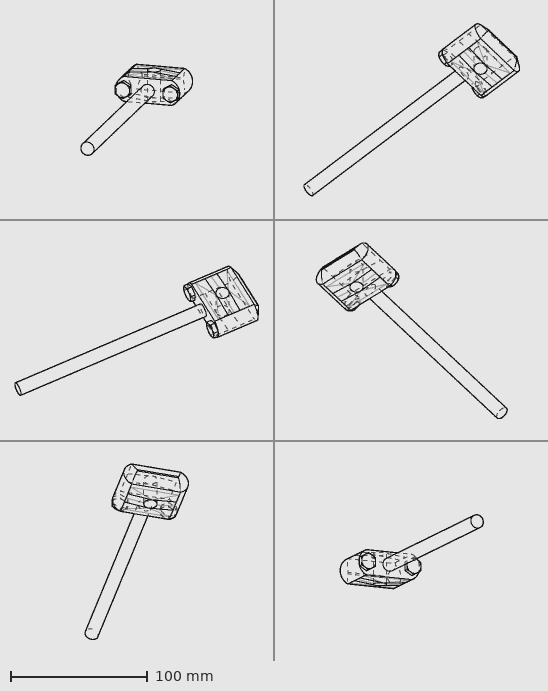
import cadquery as cq
import math

total_length = 189.9
clamp_width = 49.0
clamp_height = 22.8

block_length = 37.5
side_radius = 10.5
flat_height = 19.0
taper_length = 5.1
taper_angle = 30.0

pad_width = 36.0
pad_length = 25.6
hole_y = 16.0
hole_diameter = 9.7
hole_radius = hole_diameter / 2

rod_diameter = 10.0
rod_length = total_length - block_length

bolt_offset = 18.2
head_sides = 6
head_across_flats = 11.2
head_thickness = 3.8
head_chamfer_angle = 30.0


def make_block():
    """Round-sided bar along Y, cut flat above and below, then tapered at the far end."""
    taper_inset = taper_length / math.tan(math.radians(taper_angle))
    shoulder_y = block_length - taper_length
    half_height = flat_height / 2
    tip_half_height = half_height - taper_inset

    bar = (
        cq.Workplane("XZ")
        .slot2D(clamp_width, 2 * side_radius)
        .extrude(-block_length)
        .faces(">Y")
        .chamfer(taper_length, taper_inset)
    )
    side_profile = (
        cq.Workplane("YZ")
        .moveTo(0, -half_height)
        .lineTo(shoulder_y, -half_height)
        .lineTo(block_length, -tip_half_height)
        .lineTo(block_length, tip_half_height)
        .lineTo(shoulder_y, half_height)
        .lineTo(0, half_height)
        .close()
        .extrude(clamp_width / 2, both=True)
    )
    return bar.intersect(side_profile)


def ruled_face(edge_start, edge_end, arc_start, arc_middle, arc_end):
    """Ruled face between a straight edge segment and a quarter of the hole rim."""
    straight = cq.Edge.makeLine(edge_start, edge_end)
    rim = cq.Edge.makeThreePointArc(arc_start, arc_middle, arc_end)
    return cq.Face.makeRuledSurface(straight, rim)


def make_pad():
    """Solid rising from a rectangle on the top flat to the round rim of the cross hole."""
    base_z = flat_height / 2
    rim_z = clamp_height / 2
    half_width = pad_width / 2
    half_length = pad_length / 2
    diagonal = hole_radius * math.sqrt(0.5)

    def point(x, y, z):
        return cq.Vector(x, hole_y + y, z)

    def polygon(*points):
        return cq.Face.makeFromWires(cq.Wire.makePolygon(points, close=True))

    faces = []
    for end in (-1, 1):
        rim_end = point(0, end * hole_radius, rim_z)
        corners = [point(side * half_width, end * half_length, base_z) for side in (-1, 1)]
        faces.append(polygon(*corners, rim_end))
        for side in (-1, 1):
            corner = point(side * half_width, end * half_length, base_z)
            tangent = point(side * half_width, end * hole_radius, base_z)
            middle = point(side * half_width, 0, base_z)
            faces.append(polygon(corner, tangent, rim_end))
            faces.append(
                ruled_face(
                    tangent,
                    middle,
                    rim_end,
                    point(side * diagonal, end * diagonal, rim_z),
                    point(side * hole_radius, 0, rim_z),
                )
            )

    side_edge_y = (-half_length, -hole_radius, 0, hole_radius, half_length)
    outline = [point(-half_width, y, base_z) for y in side_edge_y]
    outline += [point(half_width, y, base_z) for y in reversed(side_edge_y)]
    faces.append(polygon(*outline))

    rim_circle = cq.Edge.makeCircle(hole_radius, point(0, 0, rim_z))
    faces.append(cq.Face.makeFromWires(cq.Wire.assembleEdges([rim_circle])))
    shell = cq.Shell.makeShell(faces)
    return cq.Workplane(cq.Solid.makeSolid(shell).fix())


def make_bolt_head(x):
    """Hexagonal head whose outer corners are trimmed by a cone."""
    across_corners = head_across_flats / math.cos(math.pi / head_sides)
    corner_inset = (across_corners - head_across_flats) / 2
    chamfer_depth = corner_inset * math.tan(math.radians(head_chamfer_angle))
    prism = (
        cq.Workplane("XZ")
        .polygon(head_sides, across_corners)
        .extrude(head_thickness)
        .rotate((0, 0, 0), (0, 1, 0), 180 / head_sides)
    )
    trim = (
        cq.Workplane("XZ")
        .circle(across_corners / 2)
        .extrude(head_thickness)
        .faces("<Y")
        .chamfer(chamfer_depth, corner_inset)
    )
    return prism.intersect(trim).translate((x, 0, 0))


result = make_block()

top_pad = make_pad()
result = result.union(top_pad).union(top_pad.mirror("XY"))

cross_hole = (
    cq.Workplane("XY").center(0, hole_y).circle(hole_radius).extrude(clamp_height, both=True)
)
result = result.cut(cross_hole)

result = result.union(cq.Workplane("XZ").circle(rod_diameter / 2).extrude(rod_length))

for bolt_x in (-bolt_offset, bolt_offset):
    result = result.union(make_bolt_head(bolt_x))